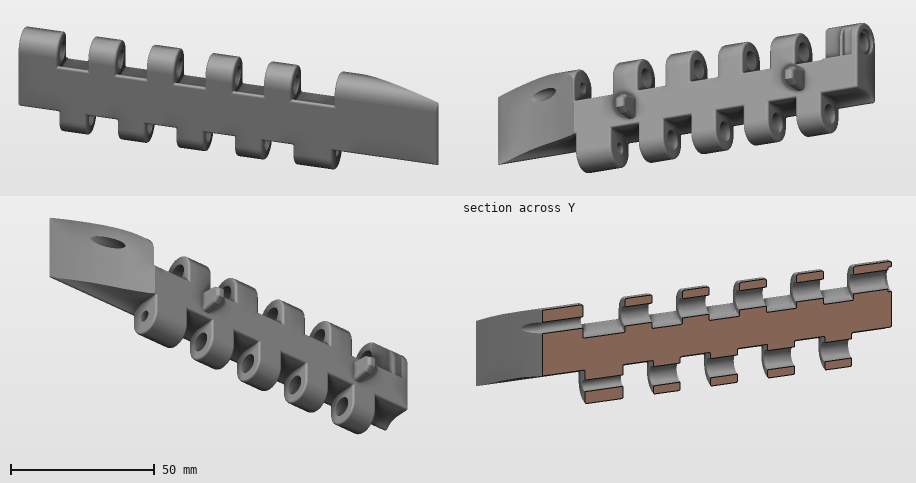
import cadquery as cq
import math

length = 152.3
height = 37.5
thickness = 12.6
clearance = 0.5
edge_radius = 0.8
root_radius = 0.5

round_radius = thickness / 2
mid_y = thickness / 2
pin_inset = round_radius + clearance
floor_inset = 2 * round_radius
top_pin_z = height - pin_inset
bottom_pin_z = pin_inset

repeat_count = 4
first_knuckle_width = 14.3
first_bottom_start = first_knuckle_width + clearance
last_bottom_start = 99.8
first_top_gap_end = 25.3
pitch = (last_bottom_start - first_bottom_start) / repeat_count
knuckle_width = pitch / 2 - clearance

taper_start = 114.7
tip_thickness = 0.9
taper_mid = (130.0, 6.4)
overrun = 1.5

bore_radius = 3.5
small_bore_radius = 4.1 / 2
counterbore_radius = 4.5
counterbore_depth = 1.2

peg_length = 8.4
peg_width = 3.5
peg_base_half = 4.0
peg_shoulder_half = 3.4
peg_tip_half = 1.7
peg_shoulder = 6.0
peg_root = 1.5
peg_edge_radius = 1.2
peg_centres = (23.0, 91.4)

notch_start = 6.9
notch_depth = 2.6
notch_floor_z = height - floor_inset + clearance
pocket_start = 2.3
pocket_width = 3.7
pocket_depth = 1.4
pocket_floor_z = notch_floor_z


def leaf():
    """Central bar with quarter-round hollows under both rows of gaps and rounded edges."""
    lip_y = mid_y - edge_radius
    lip_z = math.sqrt((round_radius + edge_radius) ** 2 - lip_y ** 2)
    lip_angle = math.atan2(lip_z, lip_y)
    hollow_angle = (lip_angle + math.pi / 2) / 2
    lip_mid_angle = lip_angle / 2

    def hollow_point(angle):
        return (mid_y - round_radius * math.cos(angle), round_radius + round_radius * math.sin(angle))

    lip_centre_z = round_radius + lip_z
    lip_mid = (
        edge_radius - edge_radius * math.cos(lip_mid_angle),
        lip_centre_z - edge_radius * math.sin(lip_mid_angle),
    )
    half = (
        cq.Workplane("YZ")
        .moveTo(0, height / 2)
        .lineTo(0, lip_centre_z)
        .threePointArc(lip_mid, hollow_point(lip_angle))
        .threePointArc(hollow_point(hollow_angle), (mid_y, floor_inset))
        .lineTo(thickness, floor_inset)
        .lineTo(thickness, height / 2)
        .close()
        .extrude(length)
    )
    half = half.faces(">Y").edges("<Z").fillet(edge_radius)
    bar = half.union(half.mirror("XY", (0, 0, height / 2)))
    return bar.faces("<X").edges("<Y or >Y").fillet(edge_radius)


def top_knuckle(start, width):
    """Round-topped block reaching from mid height to the top end."""
    side = height / 2 - round_radius
    block = (
        cq.Workplane("YZ", origin=(start, 0, height / 2))
        .lineTo(0, side)
        .threePointArc((mid_y, side + round_radius), (thickness, side))
        .lineTo(thickness, 0)
        .close()
        .extrude(width)
    )
    return block.faces("<X or >X").edges("not <Z").fillet(edge_radius)


def bottom_knuckle(start, width):
    """Mirror image of a top knuckle about mid height."""
    return top_knuckle(start, width).mirror("XY", (0, 0, height / 2))


def x_cylinder(start, depth, radius, axis_z):
    """Cylinder along X at mid thickness, used to cut the pin bores."""
    return cq.Workplane("YZ", origin=(start, mid_y, axis_z)).circle(radius).extrude(depth)


def taper_cutter():
    """Everything behind the hollow back of the tapered end."""
    return (
        cq.Workplane("XY")
        .moveTo(taper_start, thickness)
        .threePointArc(taper_mid, (length, tip_thickness))
        .lineTo(length + overrun, tip_thickness)
        .lineTo(length + overrun, thickness + overrun)
        .lineTo(taper_start, thickness + overrun)
        .close()
        .extrude(height)
    )


def tip_cutter():
    """Everything beyond the square tip, with the front corner of the tip rounded."""
    corner_offset = edge_radius * (1 - math.sqrt(0.5))
    return (
        cq.Workplane("XY")
        .moveTo(length - edge_radius, 0)
        .threePointArc((length - corner_offset, corner_offset), (length, edge_radius))
        .lineTo(length, thickness)
        .lineTo(length + overrun, thickness)
        .lineTo(length + overrun, 0)
        .close()
        .extrude(height)
    )


def peg(centre_x):
    """Flat bullet-shaped peg standing on the back face."""
    back = thickness
    body = (
        cq.Workplane("YZ", origin=(centre_x - peg_width / 2, 0, height / 2))
        .moveTo(back - peg_root, -peg_base_half)
        .lineTo(back, -peg_base_half)
        .lineTo(back + peg_shoulder, -peg_shoulder_half)
        .lineTo(back + peg_length, -peg_tip_half)
        .lineTo(back + peg_length, peg_tip_half)
        .lineTo(back + peg_shoulder, peg_shoulder_half)
        .lineTo(back, peg_base_half)
        .lineTo(back - peg_root, peg_base_half)
        .close()
        .extrude(peg_width)
    )
    return body.faces("<X or >X").edges("not <Y").fillet(peg_edge_radius)


def back_notch(start, width, depth, floor_z):
    """Cut in the back of the first knuckle, open upward, with a rounded outer floor edge."""
    lip_offset = edge_radius * (1 - math.sqrt(0.5))
    return (
        cq.Workplane("YZ", origin=(start, 0, 0))
        .moveTo(thickness - depth, height)
        .lineTo(thickness - depth, floor_z)
        .lineTo(thickness - edge_radius, floor_z)
        .threePointArc((thickness - lip_offset, floor_z - lip_offset), (thickness, floor_z - edge_radius))
        .lineTo(thickness, height)
        .close()
        .extrude(width)
    )


def round_knuckle_roots(body):
    """Fillet the inner corners where the gap floors meet the knuckle ends."""
    roots = body.edges("|Y")
    selected = []
    for floor_z in (floor_inset, height - floor_inset):
        low_corner = (2 * edge_radius, 0, floor_z - root_radius)
        high_corner = (length - 2 * edge_radius, thickness, floor_z + root_radius)
        selected += roots.edges(cq.selectors.BoxSelector(low_corner, high_corner)).vals()
    return body.newObject(selected).fillet(root_radius)


part = leaf()
part = part.union(top_knuckle(0, first_knuckle_width))
for index in range(repeat_count):
    top_start = first_top_gap_end + index * pitch
    bottom_start = first_bottom_start + index * pitch
    part = part.union(top_knuckle(top_start, knuckle_width))
    part = part.union(bottom_knuckle(bottom_start, knuckle_width))
part = part.union(bottom_knuckle(last_bottom_start, first_knuckle_width))
part = part.union(top_knuckle(taper_start, length - taper_start + edge_radius))

part = round_knuckle_roots(part)

part = part.cut(taper_cutter())
part = part.cut(tip_cutter())

part = part.cut(x_cylinder(0, taper_start - clearance, bore_radius, top_pin_z))
part = part.cut(x_cylinder(0, length, small_bore_radius, top_pin_z))
part = part.cut(x_cylinder(0, counterbore_depth, counterbore_radius, top_pin_z))
part = part.cut(x_cylinder(0, last_bottom_start, bore_radius, bottom_pin_z))
part = part.cut(x_cylinder(0, length, small_bore_radius, bottom_pin_z))

part = part.cut(back_notch(notch_start, first_knuckle_width - notch_start, notch_depth, notch_floor_z))
part = part.cut(back_notch(pocket_start, pocket_width, pocket_depth, pocket_floor_z))
for centre in peg_centres:
    part = part.union(peg(centre))

result = part